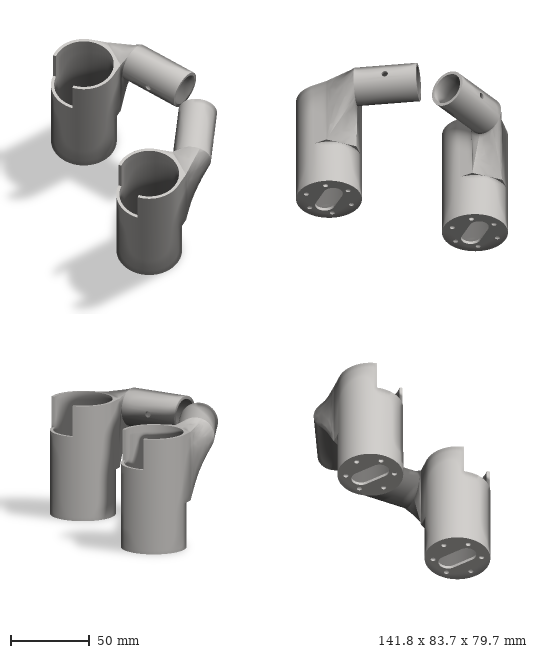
import cadquery as cq
import math

CUP_DIAMETER = 41.8
CUP_BORE = 37.9
CUP_HEIGHT = 75.0
FLOOR_THICKNESS = 2.0
CUP_RADIUS = CUP_DIAMETER / 2

OPENING_BOTTOM = 54.9
OPENING_HALF_ANGLE = math.radians(45)

SLOT_LENGTH = 26.5
SLOT_WIDTH = 12.5
SCREW_HOLE_DIAMETER = 3.3
SCREW_CIRCLE_RADIUS = 15.5
SCREW_COUNT = 6

PAD_WIDTH = 20.7
PAD_BOTTOM = 30.0
PAD_FLANK_Y = 13.8
PAD_HEIGHT = CUP_HEIGHT - PAD_BOTTOM

TUBE_DIAMETER = 24.5
TUBE_BORE = 20.5
TUBE_LENGTH = 40.0
TUBE_ANGLE = math.radians(30)
TUBE_START_X = 5.5
TUBE_START_Y = 32.2
OVERALL_HEIGHT = 79.7
TUBE_RADIUS = TUBE_DIAMETER / 2
TUBE_Z = OVERALL_HEIGHT - TUBE_RADIUS
PIN_HOLE_DIAMETER = 4.0

OVERALL_LENGTH = 141.8
CUP_AXIS_X = (OVERALL_LENGTH - CUP_DIAMETER) / 2

TUBE_AXIS = cq.Vector(math.cos(TUBE_ANGLE), math.sin(TUBE_ANGLE), 0)
TUBE_SIDE = cq.Vector(math.sin(TUBE_ANGLE), -math.cos(TUBE_ANGLE), 0)
TUBE_START = cq.Vector(TUBE_START_X, TUBE_START_Y, TUBE_Z)


def make_pad():
    """Block behind the cup, with flanks running from the cup wall to the flat face."""
    flank_x = math.sqrt(CUP_RADIUS**2 - PAD_FLANK_Y**2)
    outline = [
        (-flank_x, PAD_FLANK_Y),
        (-PAD_WIDTH / 2, CUP_RADIUS),
        (PAD_WIDTH / 2, CUP_RADIUS),
        (flank_x, PAD_FLANK_Y),
        (0, 0),
    ]
    return cq.Workplane("XY").workplane(offset=PAD_BOTTOM).polyline(outline).close().extrude(PAD_HEIGHT)


def tube_start_point(angle):
    """Point on the start circle of the tube, at an angle from the side direction up towards Z."""
    across = TUBE_SIDE * (TUBE_RADIUS * math.cos(angle))
    upward = cq.Vector(0, 0, TUBE_RADIUS * math.sin(angle))
    return TUBE_START + across + upward


def make_neck():
    """Ruled transition from the rectangular pad face to the round start of the tube."""
    half_width = PAD_WIDTH / 2
    corners = [
        cq.Vector(half_width, CUP_RADIUS, CUP_HEIGHT),
        cq.Vector(-half_width, CUP_RADIUS, CUP_HEIGHT),
        cq.Vector(-half_width, CUP_RADIUS, PAD_BOTTOM),
        cq.Vector(half_width, CUP_RADIUS, PAD_BOTTOM),
    ]
    rectangle = cq.Wire.makePolygon(corners, close=True)

    corner_angle = math.atan2(PAD_HEIGHT, PAD_WIDTH)
    angles = [
        corner_angle,
        math.pi - corner_angle,
        math.pi + corner_angle,
        2 * math.pi - corner_angle,
        2 * math.pi + corner_angle,
    ]
    arcs = []
    for start, end in zip(angles, angles[1:]):
        middle = (start + end) / 2
        arc = cq.Edge.makeThreePointArc(
            tube_start_point(start), tube_start_point(middle), tube_start_point(end)
        )
        arcs.append(arc)
    circle = cq.Wire.assembleEdges(arcs)
    return cq.Workplane(cq.Solid.makeLoft([rectangle, circle], True))


def make_tube_cylinder(diameter):
    """Cylinder filling the length of the tube."""
    return cq.Workplane(cq.Solid.makeCylinder(diameter / 2, TUBE_LENGTH, TUBE_START, TUBE_AXIS))


def make_pin_hole():
    """Horizontal cross hole through both walls at the middle of the tube."""
    middle = TUBE_START + TUBE_AXIS * (TUBE_LENGTH / 2)
    start = middle - TUBE_SIDE * TUBE_DIAMETER
    return cq.Workplane(
        cq.Solid.makeCylinder(PIN_HOLE_DIAMETER / 2, 2 * TUBE_DIAMETER, start, TUBE_SIDE)
    )


def make_cup_opening():
    """Wedge that removes the front sector of the rim."""
    reach = CUP_DIAMETER
    wedge_x = reach * math.sin(OPENING_HALF_ANGLE)
    wedge_y = -reach * math.cos(OPENING_HALF_ANGLE)
    return (
        cq.Workplane("XY")
        .workplane(offset=OPENING_BOTTOM)
        .polyline([(0, 0), (-wedge_x, wedge_y), (wedge_x, wedge_y)])
        .close()
        .extrude(CUP_HEIGHT - OPENING_BOTTOM)
    )


def make_floor_openings():
    """Central slot and ring of screw holes through the cup floor."""
    slot = cq.Workplane("XY").slot2D(SLOT_LENGTH, SLOT_WIDTH, 90).extrude(FLOOR_THICKNESS)
    screw_holes = (
        cq.Workplane("XY")
        .polarArray(SCREW_CIRCLE_RADIUS, 0, 360, SCREW_COUNT)
        .circle(SCREW_HOLE_DIAMETER / 2)
        .extrude(FLOOR_THICKNESS)
    )
    return slot.union(screw_holes)


def make_holder():
    """One holder, with its tube leaning towards +X."""
    cup = cq.Workplane("XY").circle(CUP_RADIUS).extrude(CUP_HEIGHT)
    cup_bore = (
        cq.Workplane("XY")
        .workplane(offset=FLOOR_THICKNESS)
        .circle(CUP_BORE / 2)
        .extrude(CUP_HEIGHT - FLOOR_THICKNESS)
    )
    body = cup.union(make_pad()).union(make_neck()).union(make_tube_cylinder(TUBE_DIAMETER))
    body = body.cut(cup_bore).cut(make_cup_opening()).cut(make_floor_openings())
    return body.cut(make_tube_cylinder(TUBE_BORE)).cut(make_pin_hole())


left_holder = make_holder().translate((-CUP_AXIS_X, 0, 0))
right_holder = left_holder.mirror("YZ")

result = cq.Compound.makeCompound([left_holder.solids().val(), right_holder.solids().val()])